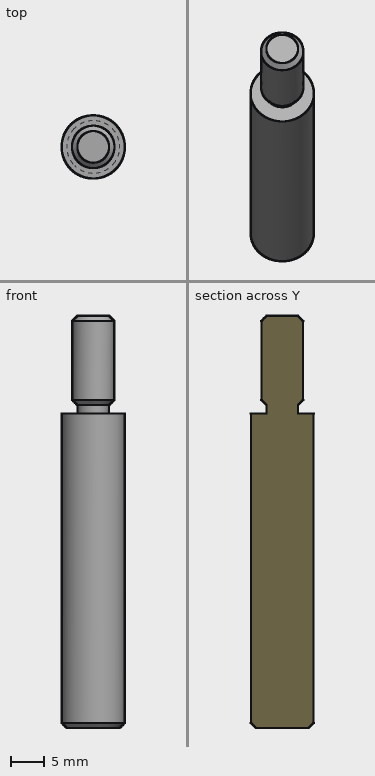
import cadquery as cq

total_length = 61.9
body_diameter = 9.55
body_length = 47.25
body_chamfer = 0.8

stud_diameter = 6.4
stud_chamfer = 0.8
neck_diameter = 4.75
neck_length = 1.25

body_radius = body_diameter / 2
stud_radius = stud_diameter / 2
neck_radius = neck_diameter / 2
neck_top = body_length + neck_length
neck_cone_top = neck_top + stud_radius - neck_radius

profile = (
    cq.Workplane("XZ")
    .moveTo(0, 0)
    .lineTo(body_radius - body_chamfer, 0)
    .lineTo(body_radius, body_chamfer)
    .lineTo(body_radius, body_length)
    .lineTo(neck_radius, body_length)
    .lineTo(neck_radius, neck_top)
    .lineTo(stud_radius, neck_cone_top)
    .lineTo(stud_radius, total_length - stud_chamfer)
    .lineTo(stud_radius - stud_chamfer, total_length)
    .lineTo(0, total_length)
    .close()
)

result = profile.revolve(360, (0, 0, 0), (0, 1, 0))